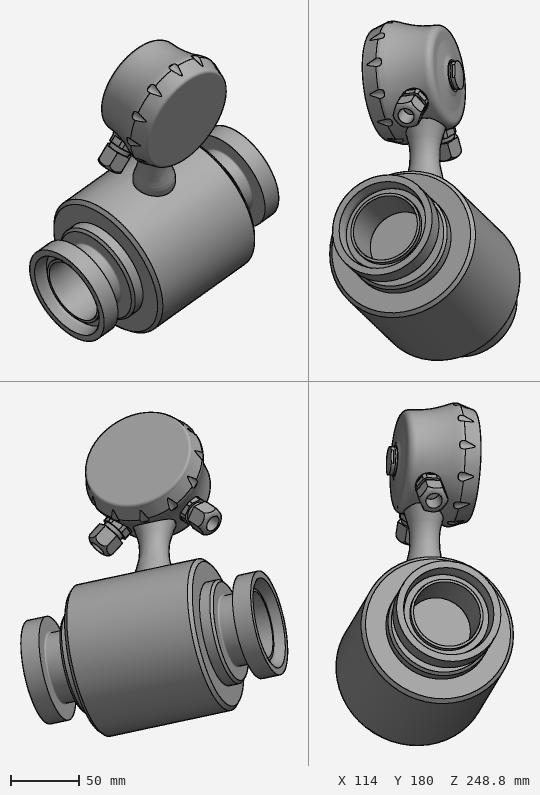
import cadquery as cq
import math

OVERALL_LENGTH = 180.0
BODY_DIAMETER = 114.0
BODY_LENGTH = 100.0
BODY_CHAMFER = 2.75
COLLAR_DIAMETER = 78.0
COLLAR_END = 60.0
COLLAR_CHAMFER = 2.0
NECK_DIAMETER = 53.0
NECK_FILLET = 1.2
FLANGE_DIAMETER = 78.0
FLANGE_THICKNESS = 14.25

SEAT_MOUTH_DIAMETER = 67.5
SEAT_END_DIAMETER = 64.0
SEAT_DEPTH = 7.0
GROOVE_DEPTH = 10.5
LIP_DIAMETER = 54.0
LIP_DEPTH = 6.5
BORE_MOUTH_DIAMETER = 50.0
BORE_END_DIAMETER = 48.4

STEM_BASE_DIAMETER = 31.2
STEM_SHOULDER_DIAMETER = 30.0
STEM_TAPER_DIAMETER = 27.0
STEM_WAIST_DIAMETER = 22.0
STEM_FLARE_DIAMETER = 24.0
STEM_TOP_DIAMETER = 32.0
STEM_BASE_TOP = 60.5
STEM_SHOULDER = 63.3
STEM_TAPER = 68.0
STEM_WAIST_BOTTOM = 84.3
STEM_WAIST_TOP = 88.0
STEM_FLARE = 96.6
STEM_TOP = 110.0

HEAD_HEIGHT = 146.33
LID_RADIUS = 45.55
BACK_X = -19.3
BACK_CORNER = 5.5
CASE_RADIUS = 38.5
LID_START_X = 15.4
LID_START_RADIUS = 44.4
LID_RIDGE_START_X = 19.1
LID_RIDGE_END_X = 21.4
LID_RIM_X = 31.9
LID_RIM_RADIUS = 83.7 / 2
LID_FILLET = 2.4

DOME_RADIUS = 26.5
DOME_STEP_X = -20.8
DOME_STEP_RADIUS = 15.5
DOME_TOP_X = -22.4
DOME_TOP_RADIUS = 23.5 / 2
KNOB_RADIUS = 10.5
KNOB_SHAFT_RADIUS = 20.8 / 2
KNOB_SHAFT_END_X = -23.7
KNOB_EDGE_X = -26.75
KNOB_TIP_X = -28.0
KNOB_FLAT_OFFSET = 9.2
KNOB_FLAT_X = -25.0

NOTCH_COUNT = 12
NOTCH_CENTRE_X = 20.4
NOTCH_TIP_X = 32.0
NOTCH_TIP_LIFT = 0.5
NOTCH_RADIUS = 5.6
NOTCH_LIFT = 3.9

GLAND_X = -2.0
GLAND_TILT = 45.0
GLAND_BASE_DIAMETER = 20.8
GLAND_BASE_FLATS = 19.4
GLAND_ROOT = 30.0
GLAND_FLATS_START = 39.3
GLAND_BASE_END = 45.0
GLAND_COLLAR_DIAMETER = 16.69
NUT_FLATS = 19.4
NUT_START = 48.8
NUT_END = 63.8
NUT_ROUND_LENGTH = 4.4
CABLE_HOLE_DIAMETER = 12.0


def make_body():
    """Solid chamfered drum in the middle of the flow tube."""
    return (
        cq.Workplane("XZ", origin=(0, BODY_LENGTH / 2, 0))
        .circle(BODY_DIAMETER / 2)
        .extrude(BODY_LENGTH)
        .faces("|Y")
        .chamfer(BODY_CHAMFER)
    )


def make_tube_end():
    """Collar, neck and flange at the +Y end of the body, with the tapered seat, groove and bore."""
    end = OVERALL_LENGTH / 2
    flange_back = end - FLANGE_THICKNESS
    body_end = BODY_LENGTH / 2
    collar_radius = COLLAR_DIAMETER / 2
    neck_radius = NECK_DIAMETER / 2
    return (
        cq.Workplane("XY")
        .moveTo(BORE_END_DIAMETER / 2, body_end)
        .lineTo(collar_radius, body_end)
        .lineTo(collar_radius, COLLAR_END - COLLAR_CHAMFER)
        .lineTo(collar_radius - COLLAR_CHAMFER, COLLAR_END)
        .lineTo(neck_radius + NECK_FILLET, COLLAR_END)
        .radiusArc((neck_radius, COLLAR_END + NECK_FILLET), NECK_FILLET)
        .lineTo(neck_radius, flange_back - NECK_FILLET)
        .radiusArc((neck_radius + NECK_FILLET, flange_back), NECK_FILLET)
        .lineTo(FLANGE_DIAMETER / 2, flange_back)
        .lineTo(FLANGE_DIAMETER / 2, end)
        .lineTo(SEAT_MOUTH_DIAMETER / 2, end)
        .lineTo(SEAT_END_DIAMETER / 2, end - SEAT_DEPTH)
        .lineTo(SEAT_END_DIAMETER / 2, end - GROOVE_DEPTH)
        .lineTo(LIP_DIAMETER / 2, end - GROOVE_DEPTH)
        .lineTo(LIP_DIAMETER / 2, end - LIP_DEPTH)
        .lineTo(BORE_MOUTH_DIAMETER / 2, end - LIP_DEPTH)
        .close()
        .revolve(360, (0, 0, 0), (0, 1, 0))
    )


def make_stem():
    """Waisted stem rising from the tube into the housing."""
    return (
        cq.Workplane("XZ")
        .moveTo(0, 0)
        .lineTo(STEM_BASE_DIAMETER / 2, 0)
        .lineTo(STEM_BASE_DIAMETER / 2, STEM_BASE_TOP)
        .lineTo(STEM_SHOULDER_DIAMETER / 2, STEM_SHOULDER)
        .lineTo(STEM_TAPER_DIAMETER / 2, STEM_TAPER)
        .spline(
            [(STEM_WAIST_DIAMETER / 2, STEM_WAIST_BOTTOM)],
            tangents=[
                (STEM_TAPER_DIAMETER / 2 - STEM_SHOULDER_DIAMETER / 2, STEM_TAPER - STEM_SHOULDER),
                (0, 1),
            ],
            includeCurrent=True,
        )
        .lineTo(STEM_WAIST_DIAMETER / 2, STEM_WAIST_TOP)
        .tangentArcPoint((STEM_FLARE_DIAMETER / 2, STEM_FLARE), relative=False)
        .tangentArcPoint((STEM_TOP_DIAMETER / 2, STEM_TOP), relative=False)
        .lineTo(0, STEM_TOP)
        .close()
        .revolve(360, (0, 0, 0), (0, 1, 0))
    )


def make_housing():
    """Housing, lid, dome and knob as one turned shape about the housing axis."""
    corner_end_x = BACK_X + BACK_CORNER
    lid_face_x = LID_RIM_X + LID_FILLET
    return (
        cq.Workplane("XZ", origin=(0, 0, HEAD_HEIGHT))
        .moveTo(KNOB_TIP_X, 0)
        .lineTo(KNOB_EDGE_X, KNOB_RADIUS)
        .lineTo(KNOB_SHAFT_END_X, KNOB_RADIUS)
        .lineTo(KNOB_SHAFT_END_X, KNOB_SHAFT_RADIUS)
        .lineTo(DOME_TOP_X, KNOB_SHAFT_RADIUS)
        .lineTo(DOME_TOP_X, DOME_TOP_RADIUS)
        .lineTo(DOME_STEP_X, DOME_STEP_RADIUS)
        .lineTo(BACK_X, DOME_RADIUS)
        .lineTo(BACK_X, CASE_RADIUS - BACK_CORNER)
        .radiusArc((corner_end_x, CASE_RADIUS), BACK_CORNER)
        .tangentArcPoint((LID_START_X, LID_START_RADIUS), relative=False)
        .lineTo(LID_RIDGE_START_X, LID_RADIUS)
        .lineTo(LID_RIDGE_END_X, LID_RADIUS)
        .lineTo(LID_RIM_X, LID_RIM_RADIUS)
        .radiusArc((lid_face_x, LID_RIM_RADIUS - LID_FILLET), LID_FILLET)
        .lineTo(lid_face_x, 0)
        .close()
        .revolve(360, (0, 0, 0), (1, 0, 0))
    )


def make_knob_flats():
    """Two cutters that leave parallel flats on the tip of the knob."""
    depth = KNOB_FLAT_X - KNOB_TIP_X
    thickness = KNOB_RADIUS
    offset = KNOB_FLAT_OFFSET + thickness / 2
    return (
        cq.Workplane("XY", origin=(KNOB_TIP_X + depth / 2, 0, HEAD_HEIGHT))
        .pushPoints([(0, offset), (0, -offset)])
        .box(depth, thickness, 2 * KNOB_RADIUS)
    )


def make_notches():
    """Teardrop cutters around the lid: a ball on the ridge with a cone running out at the rim."""
    slope = (LID_RADIUS - LID_RIM_RADIUS) / (LID_RIM_X - LID_RIDGE_END_X)
    tip_radius = LID_RIM_RADIUS + slope * (LID_RIM_X - NOTCH_TIP_X) + NOTCH_TIP_LIFT
    centre_radius = LID_RADIUS + NOTCH_LIFT
    length = math.hypot(NOTCH_TIP_X - NOTCH_CENTRE_X, centre_radius - tip_radius)
    dip = math.degrees(math.atan2(centre_radius - tip_radius, NOTCH_TIP_X - NOTCH_CENTRE_X))
    teardrop = (
        cq.Workplane("XZ")
        .moveTo(-NOTCH_RADIUS, 0)
        .radiusArc((0, NOTCH_RADIUS), NOTCH_RADIUS)
        .lineTo(length, 0)
        .close()
        .revolve(360, (0, 0, 0), (1, 0, 0))
        .rotate((0, 0, 0), (0, 1, 0), dip)
        .translate((NOTCH_CENTRE_X, 0, centre_radius))
    )
    notches = []
    for index in range(NOTCH_COUNT):
        turned = teardrop.rotate((0, 0, 0), (1, 0, 0), index * 360 / NOTCH_COUNT)
        notches.append(turned.translate((0, 0, HEAD_HEIGHT)))
    return notches


def hex_prism(flats, start, end):
    """Hexagonal prism along Z with two of its flats facing +Y and -Y."""
    corners = flats / math.cos(math.pi / 6)
    return cq.Workplane("XY", origin=(0, 0, start)).polygon(6, corners).extrude(end - start)


def disc(diameter, start, end):
    """Cylinder along Z."""
    return cq.Workplane("XY", origin=(0, 0, start)).circle(diameter / 2).extrude(end - start)


def make_gland():
    """Cable gland along +Z from the origin: flatted base, collar and round-ended hexagon nut."""
    nut_radius = NUT_FLATS / math.cos(math.pi / 6) / 2
    hole_radius = CABLE_HOLE_DIAMETER / 2
    round_width = nut_radius - hole_radius
    round_radius = (round_width**2 + NUT_ROUND_LENGTH**2) / (2 * NUT_ROUND_LENGTH)
    nut_envelope = (
        cq.Workplane("XZ")
        .moveTo(0, NUT_START)
        .lineTo(nut_radius, NUT_START)
        .lineTo(nut_radius, NUT_END - NUT_ROUND_LENGTH)
        .radiusArc((hole_radius, NUT_END), -round_radius)
        .lineTo(0, NUT_END)
        .close()
        .revolve(360, (0, 0, 0), (0, 1, 0))
    )
    nut = hex_prism(NUT_FLATS, NUT_START, NUT_END).intersect(nut_envelope)
    flatted = disc(GLAND_BASE_DIAMETER, GLAND_FLATS_START, GLAND_BASE_END).intersect(
        hex_prism(GLAND_BASE_FLATS, GLAND_FLATS_START, GLAND_BASE_END)
    )
    return (
        disc(GLAND_BASE_DIAMETER, GLAND_ROOT, GLAND_FLATS_START)
        .union(flatted)
        .union(disc(GLAND_COLLAR_DIAMETER, GLAND_ROOT, NUT_START))
        .union(nut)
        .cut(disc(CABLE_HOLE_DIAMETER, NUT_START, NUT_END))
    )


def place_gland(gland, side):
    """Gland on the housing, pointing down and toward -Y (side = -1) or +Y (side = 1)."""
    turn = -side * (180 - GLAND_TILT)
    return gland.rotate((0, 0, 0), (1, 0, 0), turn).translate((GLAND_X, 0, HEAD_HEIGHT))


tube_end = make_tube_end()
tube = make_body().union(tube_end).union(tube_end.mirror("XZ"))

housing = make_housing().cut(make_knob_flats())
for notch in make_notches():
    housing = housing.cut(notch)

result = tube.union(make_stem()).union(housing)
gland = make_gland()
for side in (-1, 1):
    result = result.union(place_gland(gland, side))